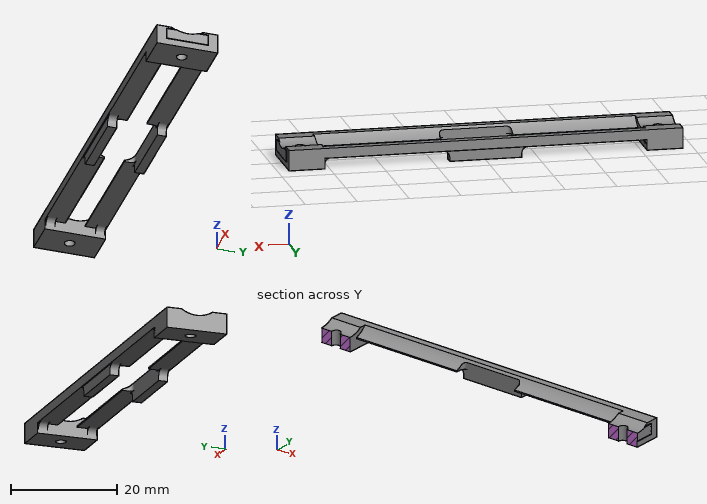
import cadquery as cq

body_length = 75.8
width = 12.0
height = 4.0
top_z = height

pad_thickness = 0.2
pad_width = 8.2
pad_height = 2.2
pad_top_drop = 0.5

window_length = 62.0
end_block_length = (body_length - window_length) / 2
slot_width = 3.9

end_trough_radius = 5.5
end_trough_depth = 0.96
window_trough_radius = 6.0
window_trough_depth = 2.0

opening_length = 13.9
opening_width = 8.0
opening_corner_radius = 0.8

rail_thickness = 1.95
relief_length = (window_length - opening_length) / 2
relief_height = height - rail_thickness
relief_corner_radius = 1.2

side_inset = 0.2

hole_diameter = 2.0
hole_x = window_length / 2 + end_block_length / 2


def box_on_base(length, depth, tall):
    """Box centred in X and Y, standing on Z = 0."""
    return cq.Workplane("XY").box(length, depth, tall, centered=(True, True, False))


def trough(radius, depth, length):
    """Cylinder along X that dips the given depth below the top face."""
    axis_z = top_z - depth + radius
    section = cq.Workplane("YZ", origin=(-length / 2, 0, axis_z))
    return section.circle(radius).extrude(length)


def underside_relief(x_center):
    """Relief across the full width, with its upper end edges rounded."""
    block = box_on_base(relief_length, width, relief_height)
    block = block.edges("|Y and >Z").fillet(relief_corner_radius)
    return block.translate((x_center, 0, 0))


def side_step(side):
    """Shallow step below one rail, setting the central block back from it."""
    step = box_on_base(window_length, side_inset, relief_height)
    return step.translate((0, side * (width - side_inset) / 2, 0))


def label_pad():
    """Thin plate standing out from the +X end face."""
    pad = box_on_base(pad_thickness, pad_width, pad_height)
    pad_x = (body_length + pad_thickness) / 2
    return pad.translate((pad_x, 0, top_z - pad_top_drop - pad_height))


def central_opening():
    """Opening between the rails, with rounded vertical corners."""
    opening = box_on_base(opening_length, opening_width, rail_thickness)
    opening = opening.edges("|Z").fillet(opening_corner_radius)
    return opening.translate((0, 0, relief_height))


body = box_on_base(body_length, width, height).union(label_pad())
body = body.cut(trough(end_trough_radius, end_trough_depth, body_length + 2 * pad_thickness))
body = body.cut(trough(window_trough_radius, window_trough_depth, window_length))
body = body.cut(box_on_base(window_length, slot_width, height))
body = body.cut(central_opening())

body = body.cut(box_on_base(window_length, opening_width, relief_height))

for side in (-1, 1):
    relief_x = side * (opening_length + relief_length) / 2
    body = body.cut(underside_relief(relief_x))
    body = body.cut(side_step(side))
    hole = cq.Workplane("XY").circle(hole_diameter / 2).extrude(height)
    body = body.cut(hole.translate((side * hole_x, 0, 0)))

result = body